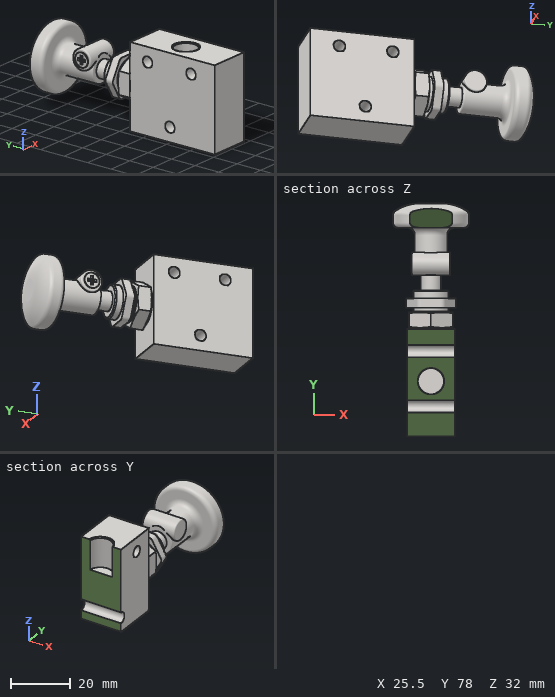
import cadquery as cq
import math

OVERALL_LENGTH = 78.0

HALF_SIDE_ANGLE = 30.0

BLOCK_WIDTH = 16.0
BLOCK_LENGTH = 36.0
BLOCK_HEIGHT = 32.0
PORT_RADIUS = 4.4
PORT_CHAMFER = 0.4
PORT_DEPTH = 11.7
PORT_Y = -17.55
MOUNT_HOLE_DIAMETER = 4.05
MOUNT_HOLE_Z = 10.5
UPPER_HOLE_YS = (-7.5, -26.0)
LOWER_HOLE_Y = -17.0

RELIEF_RADIUS = 7.0
HEX_START = 0.4
HEX_END = 5.45
HEX_FLATS = 14.75
HEX_CHAMFER_RADIUS = 7.3
HEX_CHAMFER_ANGLE = 15.0
BARREL_RADIUS = 5.9
BARREL_END = 12.95
BARREL_CHAMFER = 0.5
FLARE = 0.4

NUT_START = 7.0
NUT_END = 10.15
NUT_FLATS = 14.9
NUT_CORNER_FILLET = 1.7

STEM_RADIUS = 3.4

KNOB_START = 17.9
KNOB_TOP = OVERALL_LENGTH - BLOCK_LENGTH
KNOB_END_FILLET = 0.5
NECK_RADIUS = 5.45
NECK_FILLET = 2.4
KNOB_DIAMETER = 25.5
KNOB_RADIUS = KNOB_DIAMETER / 2
UNDERSIDE_Y = 33.8
RIM_FILLET = 1.7
RIM_TOP = 38.1
SHOULDER_ANGLE = 34.0

CLAMP_RADIUS = 3.9
CLAMP_LENGTH = 12.9
CLAMP_Y = KNOB_START + CLAMP_RADIUS
CLAMP_Z = 4.05
CLAMP_FILLET = 0.5
SCREW_RADIUS = 2.7
SCREW_RISE = 0.2
SCREW_FACE_X = -CLAMP_LENGTH / 2 - SCREW_RISE
CROSS_LENGTH = 3.2
CROSS_WIDTH = 0.85
CROSS_DEPTH = 1.2


def cylinder_y(radius, start, end):
    """Cylinder on the knob axis between two Y positions."""
    return cq.Workplane("XZ", origin=(0, start, 0)).circle(radius).extrude(start - end)


def hexagon_y(flats, start, end, corner_turn):
    """Hexagonal prism on the knob axis, with one corner turned from +X by corner_turn degrees."""
    corner_diameter = flats / math.cos(math.radians(HALF_SIDE_ANGLE))
    outline = cq.Workplane("XZ", origin=(0, start, 0)).polygon(6, corner_diameter)
    prism = outline.extrude(start - end)
    return prism.rotate((0, 0, 0), (0, 1, 0), corner_turn)


def make_block():
    """Valve block with a blind port in its top face and mounting holes through its width."""
    block = cq.Workplane("XY").box(BLOCK_WIDTH, BLOCK_LENGTH, BLOCK_HEIGHT)
    block = block.translate((0, -BLOCK_LENGTH / 2, 0))

    port = (
        cq.Workplane("XY", origin=(0, PORT_Y, BLOCK_HEIGHT / 2))
        .circle(PORT_RADIUS)
        .extrude(-PORT_DEPTH)
    )
    block = block.cut(port)
    block = block.faces(">Z").edges("%CIRCLE").chamfer(PORT_CHAMFER)

    hole_centres = [(y, MOUNT_HOLE_Z) for y in UPPER_HOLE_YS] + [(LOWER_HOLE_Y, -MOUNT_HOLE_Z)]
    mount_holes = (
        cq.Workplane("YZ")
        .pushPoints(hole_centres)
        .circle(MOUNT_HOLE_DIAMETER / 2)
        .extrude(BLOCK_WIDTH, both=True)
    )
    return block.cut(mount_holes)


def make_bushing_hexagon():
    """Hexagon with flats facing X and its corners chamfered at both ends."""
    hexagon = hexagon_y(HEX_FLATS, HEX_START, HEX_END, HALF_SIDE_ANGLE)
    corner_radius = HEX_FLATS / 2 / math.cos(math.radians(HALF_SIDE_ANGLE))
    chamfer_height = (corner_radius - HEX_CHAMFER_RADIUS) * math.tan(math.radians(HEX_CHAMFER_ANGLE))
    corner_limit = (
        cq.Workplane("XY")
        .moveTo(0, HEX_START)
        .lineTo(HEX_CHAMFER_RADIUS, HEX_START)
        .lineTo(corner_radius, HEX_START + chamfer_height)
        .lineTo(corner_radius, HEX_END - chamfer_height)
        .lineTo(HEX_CHAMFER_RADIUS, HEX_END)
        .lineTo(0, HEX_END)
        .close()
        .revolve(360, (0, 0, 0), (0, 1, 0))
    )
    return hexagon.intersect(corner_limit)


def make_barrel():
    """Round barrel with a flared foot on the hexagon and a chamfered end."""
    return (
        cq.Workplane("XY")
        .moveTo(0, HEX_END)
        .lineTo(BARREL_RADIUS + FLARE, HEX_END)
        .lineTo(BARREL_RADIUS, HEX_END + FLARE)
        .lineTo(BARREL_RADIUS, BARREL_END - BARREL_CHAMFER)
        .lineTo(BARREL_RADIUS - BARREL_CHAMFER, BARREL_END)
        .lineTo(0, BARREL_END)
        .close()
        .revolve(360, (0, 0, 0), (0, 1, 0))
    )


def make_lock_nut():
    """Nut with flats facing Z and rounded corners."""
    return hexagon_y(NUT_FLATS, NUT_START, NUT_END, 0).edges("|Y").fillet(NUT_CORNER_FILLET)


def make_valve():
    """Block, bushing, lock nut and stem as one body."""
    relief = cylinder_y(RELIEF_RADIUS, 0, HEX_START)
    stem = cylinder_y(STEM_RADIUS, BARREL_END, KNOB_START)
    valve = make_block().union(relief).union(make_bushing_hexagon()).union(make_barrel())
    return valve.union(make_lock_nut()).union(stem)


def make_knob_turning():
    """Neck, rim and crown of the knob, turned about the Y axis.

    The crown arc is tangent to the flat top and to the upper rim fillet, which it meets
    where the surface slopes by SHOULDER_ANGLE.
    """
    slope = math.radians(SHOULDER_ANGLE)
    shoulder_radius = KNOB_RADIUS - RIM_FILLET * (1 - math.sin(slope))
    shoulder_y = RIM_TOP + RIM_FILLET * math.cos(slope)
    crown_radius = (KNOB_TOP - shoulder_y) / (1 - math.cos(slope))
    crown_flat_radius = shoulder_radius - crown_radius * math.sin(slope)
    return (
        cq.Workplane("XY")
        .moveTo(0, KNOB_START)
        .lineTo(NECK_RADIUS - KNOB_END_FILLET, KNOB_START)
        .radiusArc((NECK_RADIUS, KNOB_START + KNOB_END_FILLET), -KNOB_END_FILLET)
        .lineTo(NECK_RADIUS, UNDERSIDE_Y - NECK_FILLET)
        .radiusArc((NECK_RADIUS + NECK_FILLET, UNDERSIDE_Y), NECK_FILLET)
        .lineTo(KNOB_RADIUS - RIM_FILLET, UNDERSIDE_Y)
        .radiusArc((KNOB_RADIUS, UNDERSIDE_Y + RIM_FILLET), -RIM_FILLET)
        .lineTo(KNOB_RADIUS, RIM_TOP)
        .radiusArc((shoulder_radius, shoulder_y), -RIM_FILLET)
        .radiusArc((crown_flat_radius, KNOB_TOP), -crown_radius)
        .lineTo(0, KNOB_TOP)
        .close()
        .revolve(360, (0, 0, 0), (0, 1, 0))
    )


def make_clamp():
    """Clamp barrel along X, with a raised screw head on its -X end."""
    clamp = (
        cq.Workplane("YZ", origin=(-CLAMP_LENGTH / 2, CLAMP_Y, CLAMP_Z))
        .circle(CLAMP_RADIUS)
        .extrude(CLAMP_LENGTH)
        .edges()
        .fillet(CLAMP_FILLET)
    )
    head = (
        cq.Workplane("YZ", origin=(SCREW_FACE_X, CLAMP_Y, CLAMP_Z))
        .circle(SCREW_RADIUS)
        .extrude(SCREW_RISE)
    )
    return clamp.union(head)


def make_cross_recess():
    """Cross-shaped recess whose four arms slope down to a square floor at the screw axis."""
    screw_plane = cq.Plane(origin=(SCREW_FACE_X, CLAMP_Y, CLAMP_Z), xDir=(1, 0, 0), normal=(0, 0, 1))
    arm_pair = (
        cq.Workplane(screw_plane)
        .moveTo(0, -CROSS_LENGTH / 2)
        .lineTo(CROSS_DEPTH, -CROSS_WIDTH / 2)
        .lineTo(CROSS_DEPTH, CROSS_WIDTH / 2)
        .lineTo(0, CROSS_LENGTH / 2)
        .close()
        .extrude(CROSS_WIDTH / 2, both=True)
    )
    screw_axis = ((0, CLAMP_Y, CLAMP_Z), (1, CLAMP_Y, CLAMP_Z))
    return arm_pair.union(arm_pair.rotate(*screw_axis, 90))


def make_knob():
    """Knob and clamp as one body."""
    return make_knob_turning().union(make_clamp()).cut(make_cross_recess())


valve = make_valve()
knob = make_knob()

result = cq.Compound.makeCompound([valve.solids().val(), knob.solids().val()])